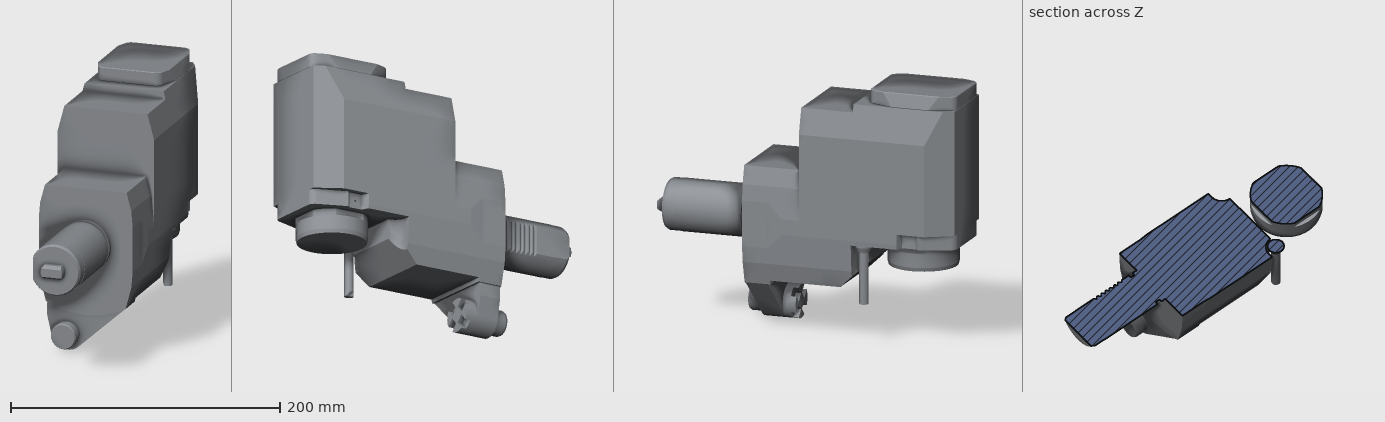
import cadquery as cq
import math



def tan_deg(angle):
    return math.tan(math.radians(angle))


BODY_HALF_WIDTH = 38.0
TAPER_ANGLE = 15.0
DRAFT_ANGLE = 5.0
BODY_FRONT_Y = 45.2
BODY_REAR_Y = 164.2
BODY_TOP_Z = 97.7
BODY_STEP_Z = 91.8
BODY_STEP_Y = 86.0
BODY_BOTTOM_Z = -9.4
TAPER_START_Z = 72.3
REAR_CORNER_LENGTH = 20.0
REAR_CORNER_WIDTH = 11.1

SPINDLE_Y = 130.2
OUTLINE_HALF_LENGTH = BODY_REAR_Y - SPINDLE_Y
OUTLINE_END_HALF_WIDTH = 24.0
OUTLINE_SLANT_ANGLE = 20.0
OUTLINE_CORNER_RADIUS = 5.8
COVER_TOP_Z = 108.5
COVER_EDGE_CHAMFER = 0.5
FOOT_TOP_Z = 2.2
FOOT_FRONT_Y = 122.2
FOOT_FLAT_HALF_WIDTH = 32.0
FOOT_FLAT_FRONT_Y = 124.6
FOOT_FLAT_REAR_Y = 135.4
FOOT_RECESS_REAR_Y = 137.6
FOOT_HOLE_DIAMETER = 2.1
FOOT_HOLE_DEPTH = 4.0
FOOT_HOLE_Z = -3.8

NOSE_DIAMETER = 54.0
NOSE_FLAT_SPACING = 48.2
NOSE_FLAT_BOTTOM_Z = -14.5
NOSE_BOTTOM_Z = -28.0
NOSE_CHAMFER_WIDTH = 0.8
NOSE_CHAMFER_HEIGHT = 3.0

SIDE_FLAT_HALF_HEIGHT = 5.9
DRAFT_END_Z = 29.8
LOWER_HALF_HEIGHT = 43.6
LOWER_SIDE_REAR_Y = 86.0
LOWER_REAR_Y = 95.5
HOLLOW_CENTRE_X = 33.5
LOWER_BEVEL_TOP_Z = -24.8
LOWER_BEVEL_FRONT_Y = 75.8
FLANGE_THICKNESS = 20.4
FLANGE_HALF_WIDTH = 37.0
FLANGE_BOTTOM_Z = -46.7
FLANGE_BLEND_END_Y = 31.4
LIP_THICKNESS = 0.7
LIP_BOTTOM_Z = -54.6

SHANK_DIAMETER = 40.0
SHANK_LENGTH = 70.0
SHANK_GROOVE_DIAMETER = 36.0
SHANK_COLLAR_DIAMETER = 39.6
SHANK_COLLAR_LENGTH = 1.3
SHANK_GROOVE_START = 3.8
SHANK_GROOVE_END = 7.2
SHANK_TIP_DIAMETER = 39.6
SHANK_TIP_LENGTH = 11.0
SHANK_TIP_CHAMFER_WIDTH = 1.2
SHANK_TIP_CHAMFER_LENGTH = 2.2
SHANK_FLAT_X = -17.15
SHANK_FLAT_START = 11.4
TOOTH_COUNT = 7
TOOTH_PITCH = 4.0
TOOTH_FIRST_Y = -15.4
TOOTH_ROOT_X = -15.5
TOOTH_HALF_WIDTH = 1.3

TANG_DIAMETER = 17.0
TANG_HEIGHT = 10.4
TANG_LENGTH = 7.6
TANG_BEVEL_HEIGHT = 2.0
TANG_BEVEL_LENGTH = 3.0
TANG_END_CHAMFER = 0.5

LUG_FRONT_Y = LIP_THICKNESS
LUG_REAR_Y = 18.2
LUG_LEFT_X = -30.8
LUG_SHOULDER_WIDTH = 0.8
LUG_SHOULDER_BOTTOM_Z = -48.7
LUG_LEFT_BOTTOM_Z = -56.8
LUG_TOP_Z = -40.0
LUG_RIGHT_X = 31.2
PIN_X = -14.5
PIN_Z = -70.0
PIN_HEAD_DIAMETER = 26.0
PIN_HEAD_REAR_Y = 28.5
PIN_DIAMETER = 19.8
PIN_FRONT_Y = -10.4
PIN_CHAMFER_LENGTH = 1.5
PIN_CHAMFER_WIDTH = 0.7
PIN_NECK_DIAMETER = 18.6
PIN_NECK_FRONT_Y = -0.8
NOTCH_COUNT = 4
NOTCH_WIDTH = 7.5
NOTCH_RADIAL_DEPTH = 8.0
NOTCH_LENGTH = 4.2

TUBE_X = 31.5
TUBE_Y = 94.3
TUBE_DIAMETER = 7.0
TUBE_BOTTOM_Z = -54.8
TUBE_TIP_CUT_WIDTH = 1.8
TUBE_TIP_CUT_HEIGHT = 3.0
TUBE_BORE_DIAMETER = 4.0
TUBE_BORE_DEPTH = 2.0
TUBE_SOCKET_DIAMETER = 12.6
TUBE_SOCKET_HEIGHT = 5.5
TUBE_SOCKET_CHAMFER_HEIGHT = 4.0
TUBE_SOCKET_CHAMFER_WIDTH = 1.8

OVERLAP = 1.0
CLEAR = 100.0


def mirrored_outline(half):
    """Close a half outline (listed from one end to the other) across the middle plane."""
    return half + [(-across, along) for across, along in reversed(half)]


def prism_along_y(points, y_start, y_end):
    """Extrude an outline of (x, z) points between two Y positions."""
    plane = cq.Workplane("XZ", origin=(0, y_start, 0))
    return plane.polyline(points).close().extrude(y_start - y_end)


def prism_along_z(points, z_start, z_end):
    """Extrude an outline of (x, y) points between two Z positions."""
    plane = cq.Workplane("XY", origin=(0, 0, z_start))
    return plane.polyline(points).close().extrude(z_end - z_start)


def cylinder_along_y(x, z, diameter, y_start, y_end):
    plane = cq.Workplane("XZ", origin=(x, y_start, z))
    return plane.circle(diameter / 2).extrude(y_start - y_end)


def cylinder_along_z(x, y, diameter, z_start, z_end):
    plane = cq.Workplane("XY", origin=(x, y, z_start))
    return plane.circle(diameter / 2).extrude(z_end - z_start)


def tapered_half_width(z):
    """Half width of the housing in its tapered upper part."""
    return BODY_HALF_WIDTH - (z - TAPER_START_Z) * tan_deg(TAPER_ANGLE)


def drafted_half_width(height):
    """Half width of the lower body at a distance above or below the shank axis."""
    draft = (min(height, DRAFT_END_Z) - SIDE_FLAT_HALF_HEIGHT) * tan_deg(DRAFT_ANGLE)
    taper = max(height - DRAFT_END_Z, 0.0) * tan_deg(TAPER_ANGLE)
    return BODY_HALF_WIDTH - draft - taper


def upper_section(top_z):
    """Cross section of the housing, closed at the given height."""
    return mirrored_outline([
        (drafted_half_width(-BODY_BOTTOM_Z), BODY_BOTTOM_Z),
        (BODY_HALF_WIDTH, -SIDE_FLAT_HALF_HEIGHT),
        (BODY_HALF_WIDTH, TAPER_START_Z),
        (tapered_half_width(top_z), top_z),
    ])


def slanted_outline(z_start, z_end):
    """Block around the spindle axis that widens from both rounded ends to its middle."""
    middle_half_width = OUTLINE_END_HALF_WIDTH + OUTLINE_HALF_LENGTH * tan_deg(OUTLINE_SLANT_ANGLE)
    block = prism_along_z(mirrored_outline([
        (OUTLINE_END_HALF_WIDTH, SPINDLE_Y - OUTLINE_HALF_LENGTH),
        (middle_half_width, SPINDLE_Y),
        (OUTLINE_END_HALF_WIDTH, SPINDLE_Y + OUTLINE_HALF_LENGTH),
    ]), z_start, z_end)
    end_edges = block.edges("|Z and (<Y or >Y)")
    return end_edges.fillet(OUTLINE_CORNER_RADIUS)


def rear_corner(side):
    """Wedge outside one bevelled rear corner of the housing, above the foot."""
    outer = side * CLEAR
    edge = BODY_HALF_WIDTH - REAR_CORNER_WIDTH
    reach = (CLEAR - edge) / REAR_CORNER_WIDTH * REAR_CORNER_LENGTH
    return prism_along_z([
        (side * edge, BODY_REAR_Y),
        (outer, BODY_REAR_Y - reach),
        (outer, BODY_REAR_Y),
    ], FOOT_TOP_Z, BODY_TOP_Z)


def foot_relief():
    """Material removed around the foot under the rear of the housing."""
    length = BODY_REAR_Y - FOOT_FRONT_Y
    relief = cq.Workplane("XY").box(2 * CLEAR, length, FOOT_TOP_Z - BODY_BOTTOM_Z, (True, False, False))
    relief = relief.translate((0, FOOT_FRONT_Y, BODY_BOTTOM_Z))
    recess_edge = OUTLINE_END_HALF_WIDTH + (BODY_REAR_Y - FOOT_RECESS_REAR_Y) * tan_deg(OUTLINE_SLANT_ANGLE)
    foot = slanted_outline(BODY_BOTTOM_Z, FOOT_TOP_Z).intersect(prism_along_z(mirrored_outline([
        (FOOT_FLAT_HALF_WIDTH, FOOT_FRONT_Y),
        (FOOT_FLAT_HALF_WIDTH, FOOT_FLAT_REAR_Y),
        (recess_edge, FOOT_RECESS_REAR_Y),
        (recess_edge, BODY_REAR_Y),
    ]), BODY_BOTTOM_Z, FOOT_TOP_Z))
    flare = prism_along_z(mirrored_outline([
        (BODY_HALF_WIDTH, FOOT_FRONT_Y),
        (FOOT_FLAT_HALF_WIDTH, FOOT_FLAT_FRONT_Y),
    ]), BODY_BOTTOM_Z, FOOT_TOP_Z)
    return relief.cut(foot).cut(flare)


def foot_hole():
    plane = cq.Workplane("YZ", origin=(-FOOT_FLAT_HALF_WIDTH, SPINDLE_Y, FOOT_HOLE_Z))
    return plane.circle(FOOT_HOLE_DIAMETER / 2).extrude(FOOT_HOLE_DEPTH)


def housing():
    body = prism_along_y(upper_section(BODY_STEP_Z), BODY_FRONT_Y, BODY_STEP_Y)
    body = body.union(prism_along_y(upper_section(BODY_TOP_Z), BODY_STEP_Y, BODY_REAR_Y))
    for side in (-1, 1):
        body = body.cut(rear_corner(side))
    return body.cut(foot_relief()).cut(foot_hole())


def cover():
    """Tapered cover on the top of the housing, with its upper and lower edges broken."""
    block = slanted_outline(BODY_TOP_Z, COVER_TOP_Z)
    tapered = prism_along_y(upper_section(COVER_TOP_Z), BODY_STEP_Y, BODY_REAR_Y)
    return block.intersect(tapered).faces(">Z or <Z").chamfer(COVER_EDGE_CHAMFER)


def spindle_nose():
    """Round nose with four flats next to the housing and a chamfered lower edge."""
    squared = cylinder_along_z(0, SPINDLE_Y, NOSE_DIAMETER, NOSE_FLAT_BOTTOM_Z, BODY_BOTTOM_Z)
    square = cq.Workplane("XY").box(NOSE_FLAT_SPACING, NOSE_FLAT_SPACING, CLEAR)
    squared = squared.intersect(square.translate((0, SPINDLE_Y, 0)))
    disc = cylinder_along_z(0, SPINDLE_Y, NOSE_DIAMETER, NOSE_BOTTOM_Z, NOSE_FLAT_BOTTOM_Z)
    disc = disc.faces("<Z").chamfer(NOSE_CHAMFER_HEIGHT, NOSE_CHAMFER_WIDTH)
    return disc.union(squared)


def lower_section(bottom_z):
    """Cross section of the lower body, closed at the given bottom height."""
    side_heights = (SIDE_FLAT_HALF_HEIGHT, DRAFT_END_Z)
    half = [(drafted_half_width(-bottom_z), bottom_z)]
    half += [(drafted_half_width(z), -z) for z in reversed(side_heights)]
    half += [(drafted_half_width(z), z) for z in side_heights]
    half += [(drafted_half_width(LOWER_HALF_HEIGHT), LOWER_HALF_HEIGHT)]
    return mirrored_outline(half)


def lower_rear_hollow(side):
    """Rounded hollow in a rear corner of the lower body, giving room for the tube socket."""
    radius = LOWER_REAR_Y - LOWER_SIDE_REAR_Y
    centre_x = side * HOLLOW_CENTRE_X
    hollow = cylinder_along_z(centre_x, LOWER_REAR_Y, 2 * radius, -CLEAR, BODY_BOTTOM_Z)
    outside = prism_along_z([
        (centre_x, LOWER_SIDE_REAR_Y),
        (side * CLEAR, LOWER_SIDE_REAR_Y),
        (side * CLEAR, CLEAR),
        (centre_x, CLEAR),
    ], -CLEAR, BODY_BOTTOM_Z)
    return hollow.union(outside)


def lower_body():
    body = prism_along_y(lower_section(-LOWER_HALF_HEIGHT), FLANGE_THICKNESS, LOWER_REAR_Y)
    plan = prism_along_z(mirrored_outline([
        (FLANGE_HALF_WIDTH, FLANGE_THICKNESS),
        (BODY_HALF_WIDTH, FLANGE_BLEND_END_Y),
        (BODY_HALF_WIDTH, LOWER_REAR_Y),
    ]), -LOWER_HALF_HEIGHT, LOWER_HALF_HEIGHT)
    side = cq.Workplane("YZ", origin=(-CLEAR, 0, 0)).polyline([
        (FLANGE_THICKNESS, LOWER_HALF_HEIGHT),
        (FLANGE_THICKNESS, -LOWER_HALF_HEIGHT),
        (LOWER_BEVEL_FRONT_Y, -LOWER_HALF_HEIGHT),
        (LOWER_REAR_Y, LOWER_BEVEL_TOP_Z),
        (LOWER_REAR_Y, LOWER_HALF_HEIGHT),
    ]).close().extrude(2 * CLEAR)
    body = body.intersect(plan).intersect(side)
    for side_sign in (-1, 1):
        body = body.cut(lower_rear_hollow(side_sign))
    return body


def flange():
    plate = prism_along_y(lower_section(FLANGE_BOTTOM_Z), 0, FLANGE_THICKNESS)
    limit = cq.Workplane("XY").box(2 * FLANGE_HALF_WIDTH, CLEAR, 2 * CLEAR)
    corner = drafted_half_width(-FLANGE_BOTTOM_Z)
    lip = (
        cq.Workplane("XZ")
        .moveTo(-corner, FLANGE_BOTTOM_Z)
        .threePointArc((0, LIP_BOTTOM_Z), (corner, FLANGE_BOTTOM_Z))
        .close()
        .extrude(-LIP_THICKNESS)
    )
    return plate.intersect(limit).union(lip)


def shank():
    """Round shank with a ring groove near the flange and a chamfered tip."""
    radius = SHANK_DIAMETER / 2
    collar_radius = SHANK_COLLAR_DIAMETER / 2
    groove_radius = SHANK_GROOVE_DIAMETER / 2
    tip_radius = SHANK_TIP_DIAMETER / 2
    half = [
        (0, OVERLAP),
        (collar_radius, OVERLAP),
        (collar_radius, -SHANK_COLLAR_LENGTH),
        (radius, -SHANK_COLLAR_LENGTH),
        (radius, -SHANK_GROOVE_START),
        (groove_radius, -SHANK_GROOVE_START),
        (groove_radius, -SHANK_GROOVE_END),
        (radius, -SHANK_GROOVE_END),
        (radius, SHANK_TIP_LENGTH - SHANK_LENGTH),
        (tip_radius, SHANK_TIP_LENGTH - SHANK_LENGTH),
        (tip_radius, SHANK_TIP_CHAMFER_LENGTH - SHANK_LENGTH),
        (tip_radius - SHANK_TIP_CHAMFER_WIDTH, -SHANK_LENGTH),
        (0, -SHANK_LENGTH),
    ]
    body = cq.Workplane("XY").polyline(half).close().revolve(360, (0, 0, 0), (0, 1, 0))
    return body.cut(shank_flat()).cut(shank_teeth())


def shank_flat():
    """Flat on the -X side of the shank, running out at 45 degrees toward the flange."""
    depth = SHANK_DIAMETER / 2 + SHANK_FLAT_X
    return prism_along_z([
        (SHANK_FLAT_X, -CLEAR),
        (SHANK_FLAT_X, -SHANK_FLAT_START),
        (SHANK_FLAT_X - depth, depth - SHANK_FLAT_START),
        (SHANK_FLAT_X - depth, -CLEAR),
    ], -CLEAR, CLEAR)


def shank_teeth():
    """Row of V grooves across the flat."""
    grooves = cq.Workplane("XY")
    for index in range(TOOTH_COUNT):
        y = TOOTH_FIRST_Y - index * TOOTH_PITCH
        grooves = grooves.add(prism_along_z([
            (TOOTH_ROOT_X, y),
            (SHANK_FLAT_X, y + TOOTH_HALF_WIDTH),
            (SHANK_FLAT_X - OVERLAP, y + TOOTH_HALF_WIDTH),
            (SHANK_FLAT_X - OVERLAP, y - TOOTH_HALF_WIDTH),
            (SHANK_FLAT_X, y - TOOTH_HALF_WIDTH),
        ], -CLEAR, CLEAR))
    return grooves.combine()


def drive_tang():
    """Round tang with flats above and below, bevelled toward its tip."""
    tip_y = -SHANK_LENGTH - TANG_LENGTH
    bevel_y = tip_y + TANG_BEVEL_LENGTH
    root_y = -SHANK_LENGTH + OVERLAP
    half_height = TANG_HEIGHT / 2
    tip_half_height = half_height - TANG_BEVEL_HEIGHT
    tang = cylinder_along_y(0, 0, TANG_DIAMETER, tip_y, root_y)
    tang = tang.faces("<Y").chamfer(TANG_END_CHAMFER)
    side = cq.Workplane("YZ", origin=(-TANG_DIAMETER / 2, 0, 0)).polyline([
        (root_y, half_height),
        (bevel_y, half_height),
        (tip_y, tip_half_height),
        (tip_y, -tip_half_height),
        (bevel_y, -half_height),
        (root_y, -half_height),
    ]).close().extrude(TANG_DIAMETER)
    return tang.intersect(side)


def tangent_point(x, z, side):
    """Point where a line from (x, z) touches the lug's round end, on the given side (-1 or 1)."""
    radius = PIN_HEAD_DIAMETER / 2
    distance = math.hypot(x - PIN_X, z - PIN_Z)
    angle = math.atan2(z - PIN_Z, x - PIN_X) - side * math.acos(radius / distance)
    return PIN_X + radius * math.cos(angle), PIN_Z + radius * math.sin(angle)


def lug():
    """Plate hanging below the flange, with a round end about the pin."""
    left_end = tangent_point(LUG_LEFT_X, LUG_LEFT_BOTTOM_Z, -1)
    right_end = tangent_point(LUG_RIGHT_X, FLANGE_BOTTOM_Z, 1)
    return (
        cq.Workplane("XZ", origin=(0, LUG_FRONT_Y, 0))
        .moveTo(LUG_LEFT_X + LUG_SHOULDER_WIDTH, LUG_TOP_Z)
        .lineTo(LUG_LEFT_X + LUG_SHOULDER_WIDTH, FLANGE_BOTTOM_Z)
        .lineTo(LUG_LEFT_X, LUG_SHOULDER_BOTTOM_Z)
        .lineTo(LUG_LEFT_X, LUG_LEFT_BOTTOM_Z)
        .lineTo(*left_end)
        .threePointArc((PIN_X, PIN_Z - PIN_HEAD_DIAMETER / 2), right_end)
        .lineTo(LUG_RIGHT_X, FLANGE_BOTTOM_Z)
        .lineTo(LUG_RIGHT_X, LUG_TOP_Z)
        .close()
        .extrude(LUG_FRONT_Y - LUG_REAR_Y)
    )


def locating_pin():
    """Pin through the lug: chamfered front end, short neck, and a notched round head behind."""
    front = cylinder_along_y(PIN_X, PIN_Z, PIN_DIAMETER, PIN_FRONT_Y, PIN_NECK_FRONT_Y)
    front = front.faces("<Y or >Y").chamfer(PIN_CHAMFER_LENGTH, PIN_CHAMFER_WIDTH)
    neck = cylinder_along_y(PIN_X, PIN_Z, PIN_NECK_DIAMETER, PIN_NECK_FRONT_Y, LUG_REAR_Y)
    head = cylinder_along_y(PIN_X, PIN_Z, PIN_HEAD_DIAMETER, LUG_REAR_Y, PIN_HEAD_REAR_Y)
    notch_centre = PIN_HEAD_DIAMETER / 2
    notch_step = 360 / NOTCH_COUNT
    notch = cq.Workplane("XY").box(2 * NOTCH_RADIAL_DEPTH, 2 * NOTCH_LENGTH, NOTCH_WIDTH)
    notch = notch.translate((notch_centre, 0, 0))
    for index in range(NOTCH_COUNT):
        turned = notch.rotate((0, 0, 0), (0, 1, 0), (index + 0.5) * notch_step)
        head = head.cut(turned.translate((PIN_X, PIN_HEAD_REAR_Y, PIN_Z)))
    return head.union(neck).union(front)


def coolant_tube():
    """Tube under the housing in a short socket, its tip cut obliquely and bored."""
    radius = TUBE_DIAMETER / 2
    edge_x = TUBE_X - radius
    tube = cylinder_along_z(TUBE_X, TUBE_Y, TUBE_DIAMETER, TUBE_BOTTOM_Z, BODY_BOTTOM_Z + OVERLAP)
    tip_cut = cq.Workplane("XZ", origin=(0, TUBE_Y - radius, 0)).polyline([
        (edge_x, TUBE_BOTTOM_Z),
        (edge_x, TUBE_BOTTOM_Z + TUBE_TIP_CUT_HEIGHT),
        (edge_x + TUBE_TIP_CUT_WIDTH, TUBE_BOTTOM_Z),
    ]).close().extrude(-TUBE_DIAMETER)
    bore_start = cq.Vector(
        edge_x + TUBE_TIP_CUT_WIDTH / 2, TUBE_Y, TUBE_BOTTOM_Z + TUBE_TIP_CUT_HEIGHT / 2
    )
    inward = cq.Vector(TUBE_TIP_CUT_HEIGHT, 0, TUBE_TIP_CUT_WIDTH).normalized()
    bore = cq.Solid.makeCylinder(
        TUBE_BORE_DIAMETER / 2, 2 * TUBE_BORE_DEPTH, bore_start - inward * TUBE_BORE_DEPTH, inward
    )
    socket = cylinder_along_z(
        TUBE_X, TUBE_Y, TUBE_SOCKET_DIAMETER, BODY_BOTTOM_Z - TUBE_SOCKET_HEIGHT, BODY_BOTTOM_Z
    )
    socket = socket.faces("<Z").chamfer(TUBE_SOCKET_CHAMFER_HEIGHT, TUBE_SOCKET_CHAMFER_WIDTH)
    return tube.cut(tip_cut).cut(cq.Workplane(bore)).union(socket)


result = housing()
for piece in (
    lower_body(), flange(), shank(), drive_tang(), lug(), locating_pin(),
    cover(), spindle_nose(), coolant_tube(),
):
    result = result.union(piece)